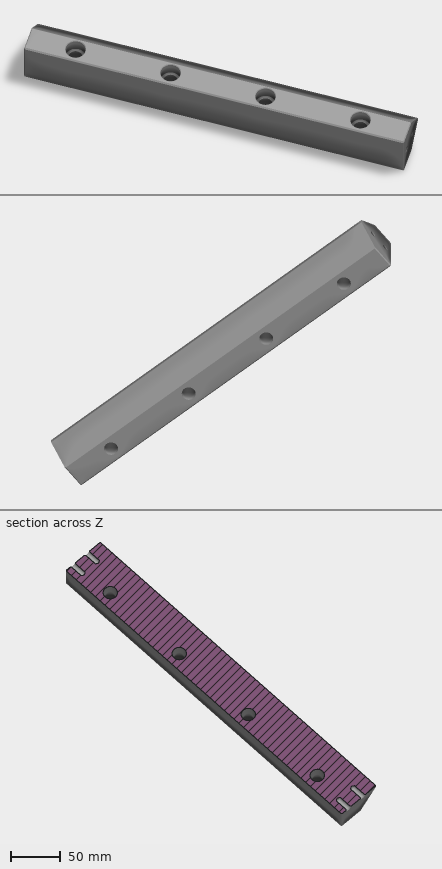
import cadquery as cq
import math

length = 400.0
width = 48.5
height = 50.0

flat_width = 26.0
nose_height = height - 2 * (width - flat_width)

long_chamfer = 1.4
end_chamfer = 1.0

bolt_count = 4
bolt_pitch = length / bolt_count
bolt_y = 14.3
bolt_diameter = 14.0
counterbore_diameter = 20.0
counterbore_depth = 13.5
counterbore_chamfer = 0.75

end_hole_positions_y = (10.0, 30.0)
end_hole_diameter = 5.25
end_hole_mouth_diameter = 7.0
end_hole_depth = 15.0
drill_point_angle = 118.0


def make_bar():
    """Extrude the pointed profile along X, then bevel its ends."""
    nose_bottom = (height - nose_height) / 2
    profile = [
        (0, long_chamfer),
        (long_chamfer, 0),
        (flat_width, 0),
        (width, nose_bottom),
        (width, nose_bottom + nose_height),
        (flat_width, height),
        (long_chamfer, height),
        (0, height - long_chamfer),
    ]
    bar = cq.Workplane("YZ").polyline(profile).close().extrude(length)
    envelope = cq.Workplane("XY").box(length, width, height, centered=False)
    front_beveled = envelope.edges("|Z and <Y").chamfer(end_chamfer)
    top_and_bottom_beveled = envelope.edges("|Y").chamfer(end_chamfer)
    return bar.intersect(front_beveled).intersect(top_and_bottom_beveled)


def bolt_hole_cutter(x):
    """Through hole with a chamfered counterbore at the top, revolved about its vertical axis."""
    bolt_radius = bolt_diameter / 2
    counterbore_radius = counterbore_diameter / 2
    half_section = [
        (0, 0),
        (bolt_radius, 0),
        (bolt_radius, height - counterbore_depth),
        (counterbore_radius, height - counterbore_depth),
        (counterbore_radius, height - counterbore_chamfer),
        (counterbore_radius + counterbore_chamfer, height),
        (0, height),
    ]
    section = cq.Workplane("XZ", origin=(x, bolt_y, 0)).polyline(half_section).close()
    return section.revolve(360, (0, 0), (0, 1))


def end_hole_cutter(x, inward, y):
    """Blind hole at mid-height, running inward (+1 or -1 along X) from the end face at x."""
    radius = end_hole_diameter / 2
    mouth_radius = end_hole_mouth_diameter / 2
    countersink_depth = mouth_radius - radius
    point_length = radius / math.tan(math.radians(drill_point_angle / 2))
    half_section = [
        (0, 0),
        (0, mouth_radius),
        (inward * countersink_depth, radius),
        (inward * end_hole_depth, radius),
        (inward * (end_hole_depth + point_length), 0),
    ]
    section = cq.Workplane("XZ", origin=(x, y, height / 2)).polyline(half_section).close()
    return section.revolve(360, (0, 0), (1, 0))


result = make_bar()

for index in range(bolt_count):
    result = result.cut(bolt_hole_cutter(bolt_pitch * (index + 0.5)))

for end_hole_y in end_hole_positions_y:
    result = result.cut(end_hole_cutter(0, 1, end_hole_y))
    result = result.cut(end_hole_cutter(length, -1, end_hole_y))